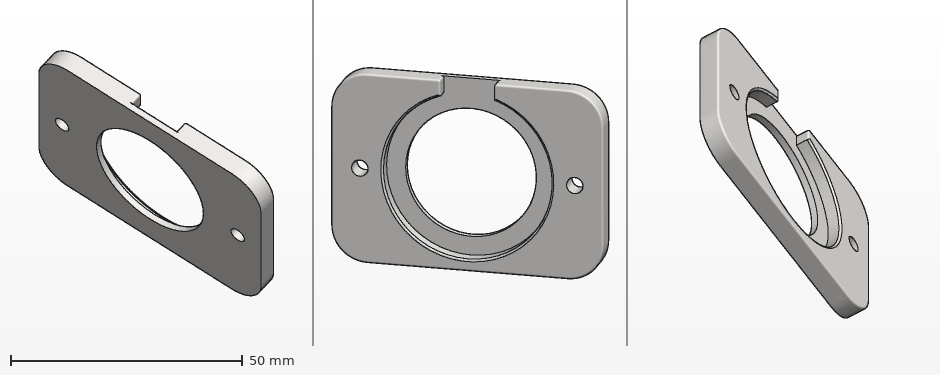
import cadquery as cq

length = 60.75
height = 43.0
thickness = 4.8
corner_radius = 8.0
edge_round = 0.5

window_diameter = 29.15
screw_hole_diameter = 3.65
screw_hole_spacing = 48.0

web_thickness = 1.6
recess_diameter = 37.65
notch_width = 12.0


def back_cylinder(diameter, start):
    """Cylinder along Y from the given depth to the back face."""
    return (
        cq.Workplane("XZ", origin=(0, start, 0))
        .circle(diameter / 2)
        .extrude(start - thickness)
    )


def make_plate():
    """Rectangular plate with rounded corners."""
    return (
        cq.Workplane("XY")
        .box(length, thickness, height, centered=(True, False, True))
        .edges("|Y")
        .fillet(corner_radius)
    )


def make_notch():
    """Slot joining the recess to the top side."""
    return (
        cq.Workplane("XY", origin=(0, web_thickness, 0))
        .box(notch_width, thickness - web_thickness, height / 2, centered=(True, False, False))
    )


def cut_openings(body):
    """Central window and the two screw holes, all passing through."""
    screw_x = screw_hole_spacing / 2
    holes = (
        cq.Workplane("XZ")
        .pushPoints([(-screw_x, 0), (screw_x, 0)])
        .circle(screw_hole_diameter / 2)
        .extrude(-thickness)
    )
    return body.cut(back_cylinder(window_diameter, 0)).cut(holes)


body = make_plate().cut(back_cylinder(recess_diameter, web_thickness)).cut(make_notch())

margin = edge_round
notch_mouth = cq.selectors.BoxSelector(
    (-notch_width / 2 - margin, web_thickness, height / 2 - margin),
    (notch_width / 2 + margin, thickness, height / 2 + margin),
)
body = body.edges("|Y").edges(notch_mouth).fillet(edge_round)
body = body.faces(">Y").edges().fillet(edge_round)

result = cut_openings(body)